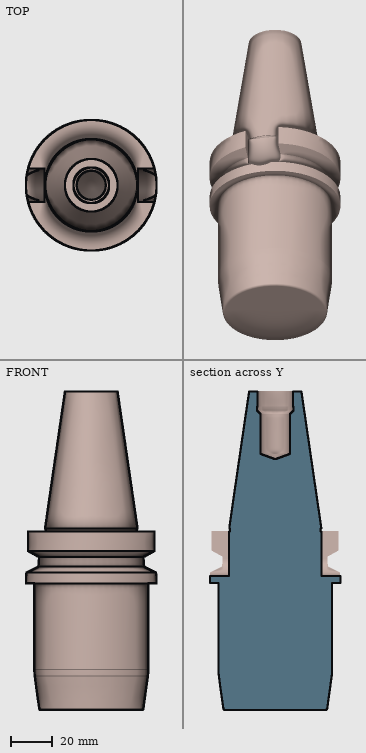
import cadquery as cq
import math


gauge_diameter = 44.45
taper_ratio = 7 / 24
shank_length = 65.4
relief_diameter = 44.0
taper_end_z = -0.6

flange_diameter = 62.98
flange_top_z = -2.0
flange_width = 25.0
groove_diameter = 53.0
groove_centre_z = -16.6
groove_floor_width = 4.7
groove_flank_angle = 30.0

slot_width = 16.1
slot_bottom_z = -23.4
slot_floor_x = 22.4

body_diameter = 55.0
body_end_z = -88.0
nose_diameter = 50.0
nose_height = 18.0
nose_blend_radius = 22.0
end_fillet = 1.0

bore_diameter = 17.01
bore_depth = 7.5
undercut_diameter = 17.41
undercut_end_depth = 9.3
core_diameter = 14.0
core_end_depth = 30.0
lead_in_angle = 90.0
drill_point_angle = 140.0


def revolve_outline(outline):
    """Full revolution about Z of a closed outline of (radius, z) points."""
    return cq.Workplane("XZ").polyline(outline).close().revolve(360, (0, 0), (0, 1))


def make_shank():
    taper_top_radius = (gauge_diameter - taper_ratio * shank_length) / 2
    taper_base_radius = (gauge_diameter - taper_ratio * taper_end_z) / 2
    relief_radius = relief_diameter / 2
    outline = [
        (0, flange_top_z),
        (relief_radius, flange_top_z),
        (relief_radius, taper_end_z),
        (taper_base_radius, taper_end_z),
        (taper_top_radius, shank_length),
        (0, shank_length),
    ]
    return revolve_outline(outline)


def make_flange():
    flange_radius = flange_diameter / 2
    groove_radius = groove_diameter / 2
    flange_bottom_z = flange_top_z - flange_width
    half_floor = groove_floor_width / 2
    flank_height = (flange_radius - groove_radius) * math.tan(math.radians(groove_flank_angle))
    half_mouth = half_floor + flank_height
    outline = [
        (0, flange_bottom_z),
        (flange_radius, flange_bottom_z),
        (flange_radius, groove_centre_z - half_mouth),
        (groove_radius, groove_centre_z - half_floor),
        (groove_radius, groove_centre_z + half_floor),
        (flange_radius, groove_centre_z + half_mouth),
        (flange_radius, flange_top_z),
        (0, flange_top_z),
    ]
    return revolve_outline(outline)


def make_body():
    body_radius = body_diameter / 2
    nose_radius = nose_diameter / 2
    body_top_z = flange_top_z - flange_width
    cone_corner_z = body_end_z + nose_height

    cone_angle = math.atan2(body_radius - nose_radius, nose_height)
    tangent_length = nose_blend_radius * math.tan(cone_angle / 2)
    blend_centre_r = body_radius - nose_blend_radius
    blend_start_z = cone_corner_z + tangent_length

    def blend_point(angle):
        return (
            blend_centre_r + nose_blend_radius * math.cos(angle),
            blend_start_z - nose_blend_radius * math.sin(angle),
        )

    body = (
        cq.Workplane("XZ")
        .moveTo(0, body_top_z)
        .lineTo(body_radius, body_top_z)
        .lineTo(body_radius, blend_start_z)
        .threePointArc(blend_point(cone_angle / 2), blend_point(cone_angle))
        .lineTo(nose_radius, body_end_z)
        .lineTo(0, body_end_z)
        .close()
        .revolve(360, (0, 0), (0, 1))
    )
    return body.faces("<Z").edges().fillet(end_fillet)


def make_drive_slot(side):
    """Round-ended slot, open to the flange top; side is +1 or -1 along X."""
    slot_radius = slot_width / 2
    round_centre_z = slot_bottom_z + slot_radius
    slot_depth = flange_diameter / 2 - slot_floor_x
    return (
        cq.Workplane("YZ", origin=(side * slot_floor_x, 0, 0))
        .moveTo(-slot_radius, flange_top_z)
        .lineTo(-slot_radius, round_centre_z)
        .threePointArc((0, slot_bottom_z), (slot_radius, round_centre_z))
        .lineTo(slot_radius, flange_top_z)
        .close()
        .extrude(side * slot_depth)
    )


def cone_height(radius_change, full_angle):
    return radius_change / math.tan(math.radians(full_angle / 2))


def make_bore():
    bore_radius = bore_diameter / 2
    undercut_radius = undercut_diameter / 2
    core_radius = core_diameter / 2
    undercut_top_z = shank_length - bore_depth
    undercut_end_z = shank_length - undercut_end_depth
    core_top_z = undercut_end_z - cone_height(undercut_radius - core_radius, lead_in_angle)
    core_end_z = shank_length - core_end_depth
    outline = [
        (0, shank_length),
        (bore_radius, shank_length),
        (bore_radius, undercut_top_z),
        (undercut_radius, undercut_top_z),
        (undercut_radius, undercut_end_z),
        (core_radius, core_top_z),
        (core_radius, core_end_z),
        (0, core_end_z - cone_height(core_radius, drill_point_angle)),
    ]
    return revolve_outline(outline)


holder = make_shank().union(make_flange()).union(make_body())
for side in (-1, 1):
    holder = holder.cut(make_drive_slot(side))
result = holder.cut(make_bore())